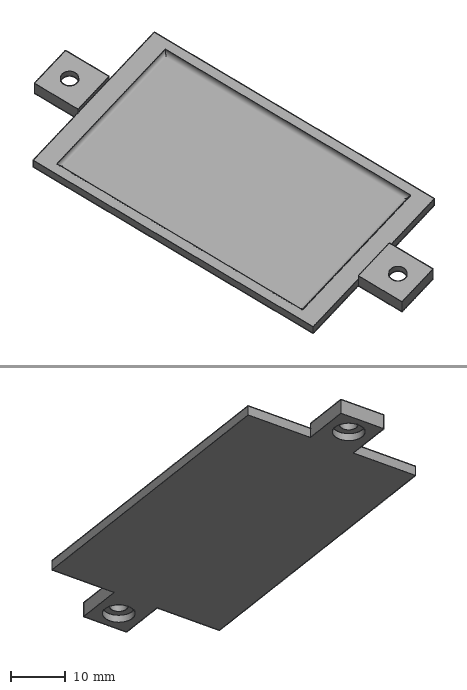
import cadquery as cq

total_length = 84.0
plate_length = 64.0
plate_width = 37.0
plate_height = 2.0
tab_width = 9.5
tab_height = 3.0
hole_diameter = 3.4
counterbore_diameter = 6.0
counterbore_depth = 1.5
hole_spacing = 75.0
recess_length = 56.0
recess_width = 33.0
recess_depth = 0.9
floor_fillet = 0.8

tab_length = (total_length - plate_length) / 2


def block(length, width, height, x=0.0, bottom=0.0):
    """Box centred on the X axis, standing on the given level."""
    return cq.Workplane("XY", origin=(x, 0, bottom)).rect(length, width).extrude(height)


result = block(plate_length, plate_width, plate_height)
for side in (-1, 1):
    tab_center = side * (plate_length + tab_length) / 2
    result = result.union(block(tab_length, tab_width, tab_height, tab_center))

recess = block(recess_length, recess_width, recess_depth, bottom=plate_height - recess_depth)
result = result.cut(recess.faces("<Z").edges().fillet(floor_fillet))

for side in (-1, 1):
    hole_center = side * hole_spacing / 2
    hole = cq.Workplane("XY").circle(hole_diameter / 2).extrude(tab_height)
    counterbore = cq.Workplane("XY").circle(counterbore_diameter / 2).extrude(counterbore_depth)
    result = result.cut(hole.union(counterbore).translate((hole_center, 0, 0)))